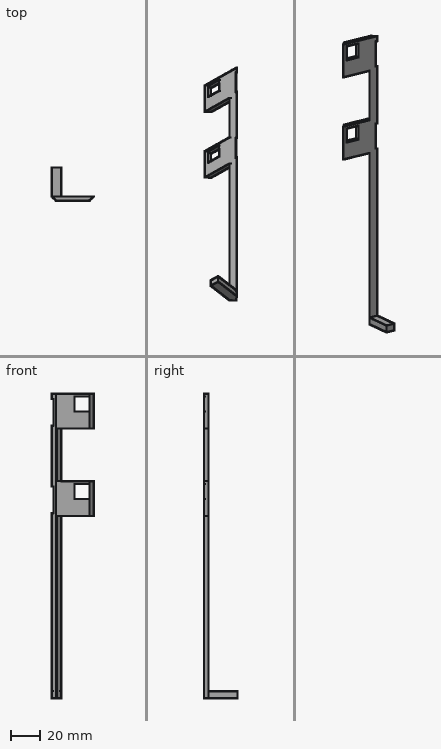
import cadquery as cq

rail_length = 209.0
rail_depth = 3.1
rail_tip_width = 0.5
rail_width = 2 * rail_depth + rail_tip_width

overall_depth = 23.0
arm_length = overall_depth - rail_depth
arm_height = 5.0

plate_width = 29.0
plate_height = 24.0
plate_thickness = rail_depth
plate_spacing = 60.0
plate_tops = [rail_length, rail_length - plate_spacing]

window_size = 10.0
window_top_margin = 2.0
window_right = plate_width - plate_thickness

notch_depth = 1.3
notch_height = 18.2
notch_top_margin = 3.8



def box_at(size, corner):
    """Box of the given size with its minimum corner at the given point."""
    return cq.Workplane("XY").box(*size, centered=False).translate(corner)


def make_rail():
    section = [
        (0, 0),
        (rail_depth, -rail_depth),
        (rail_depth + rail_tip_width, -rail_depth),
        (rail_width, 0),
    ]
    return cq.Workplane("XY").polyline(section).close().extrude(rail_length)


def make_plate(top):
    """Bevelled plate hanging down from the given height, with its window."""
    bottom = top - plate_height
    section = [
        (0, 0),
        (plate_thickness, -plate_thickness),
        (plate_width - plate_thickness, -plate_thickness),
        (plate_width, 0),
    ]
    plate = cq.Workplane("XY").workplane(offset=bottom).polyline(section).close().extrude(plate_height)
    window = box_at(
        (window_size, plate_thickness, window_size),
        (window_right - window_size, -plate_thickness, top - window_top_margin - window_size),
    )
    return plate.cut(window)


def make_notch(top):
    """Cutter that blunts the left edge beside the plate ending at the given height."""
    return box_at(
        (notch_depth, rail_depth, notch_height),
        (0, -rail_depth, top - notch_top_margin - notch_height),
    )


result = make_rail().union(box_at((rail_width, arm_length, arm_height), (0, 0, 0)))
for plate_top in plate_tops:
    result = result.union(make_plate(plate_top))
    result = result.cut(make_notch(plate_top))